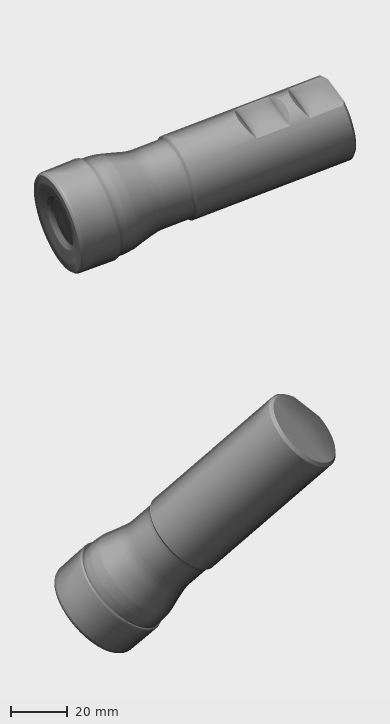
import cadquery as cq
import math


LENGTH = 110.5
SHANK_RADIUS = 31.7 / 2
BACK_CHAMFER = 1.1
NECK_RADIUS = 30.0 / 2
SHANK_FRONT = 46.4
SHANK_STEP = SHANK_RADIUS - NECK_RADIUS

BELL_RADIUS = 36.8 / 2
BELL_START = 19.0
BELL_ANGLE = math.radians(15)
BLEND_RADIUS = 15.4

COLLAR_RADIUS = 38.4 / 2
COLLAR_FRONT_RADIUS = 19.0
COLLAR_BACK = 15.4
COLLAR_BACK_BEVEL = 0.7
COLLAR_BACK_DROP = 0.2
FRONT_FACE_RADIUS = 18.2
FRONT_BEVEL_LENGTH = 0.7
FRONT_BEVEL_RADIUS = 18.8
FRONT_EDGE_LENGTH = 1.3

RIM_RADIUS = 15.2
DISH_OUTER_RADIUS = 14.6
RIM_DEPTH = 0.1
DISH_INNER_RADIUS = 10.2
DISH_DEPTH = 1.0
BORE_RADIUS = 9.2
BORE_BEVEL = 0.9
SPIGOT_FACE = 3.0

FLAT_HEIGHT = 13.5
FLAT_TURN = -4.6
FLAT_RAMP_ANGLE = math.radians(45)
REAR_FLAT_FRONT = 96.1
MIDDLE_FLAT_FRONT = 75.0
MIDDLE_FLAT_BACK = 87.9
CUTTER_CLEARANCE = 5.5


def revolve_about_y(profile):
    """Turn a profile drawn as (radius, y) fully around the tool axis."""
    return profile.close().revolve(360, (0, 0, 0), (0, 1, 0))


def make_holder_blank():
    """Shank, neck, bell and the spigot that fills the ring bore."""
    arc_length = BLEND_RADIUS * math.sin(BELL_ANGLE)
    arc_rise = BLEND_RADIUS * (1 - math.cos(BELL_ANGLE))
    half_length = BLEND_RADIUS * math.sin(BELL_ANGLE / 2)
    half_rise = BLEND_RADIUS * (1 - math.cos(BELL_ANGLE / 2))
    cone_rise = BELL_RADIUS - NECK_RADIUS - 2 * arc_rise
    cone_front = BELL_START + arc_length
    cone_back = cone_front + cone_rise / math.tan(BELL_ANGLE)
    bell_end = cone_back + arc_length
    profile = (
        cq.Workplane("XY")
        .moveTo(0, SPIGOT_FACE)
        .lineTo(BORE_RADIUS, SPIGOT_FACE)
        .lineTo(BORE_RADIUS, COLLAR_BACK)
        .lineTo(BELL_RADIUS, COLLAR_BACK)
        .lineTo(BELL_RADIUS, BELL_START)
        .threePointArc(
            (BELL_RADIUS - half_rise, BELL_START + half_length),
            (BELL_RADIUS - arc_rise, cone_front),
        )
        .lineTo(NECK_RADIUS + arc_rise, cone_back)
        .threePointArc(
            (NECK_RADIUS + half_rise, bell_end - half_length),
            (NECK_RADIUS, bell_end),
        )
        .lineTo(NECK_RADIUS, SHANK_FRONT)
        .lineTo(SHANK_RADIUS, SHANK_FRONT + SHANK_STEP)
        .lineTo(SHANK_RADIUS, LENGTH - BACK_CHAMFER)
        .lineTo(SHANK_RADIUS - BACK_CHAMFER, LENGTH)
        .lineTo(0, LENGTH)
    )
    return revolve_about_y(profile)


def make_flat_cutter(front, back, front_ramp, back_ramp):
    """Block over a flat from front to back; each ramp is the run-out at the block's top."""
    top = FLAT_HEIGHT + CUTTER_CLEARANCE
    return (
        cq.Workplane("YZ")
        .moveTo(front, FLAT_HEIGHT)
        .lineTo(back, FLAT_HEIGHT)
        .lineTo(back + back_ramp, top)
        .lineTo(front - front_ramp, top)
        .close()
        .extrude(SHANK_RADIUS, both=True)
        .rotate((0, 0, 0), (0, 1, 0), FLAT_TURN)
    )


def make_holder():
    ramp = CUTTER_CLEARANCE / math.tan(FLAT_RAMP_ANGLE)
    rear_flat = make_flat_cutter(REAR_FLAT_FRONT, LENGTH + CUTTER_CLEARANCE, ramp, 0)
    middle_flat = make_flat_cutter(MIDDLE_FLAT_FRONT, MIDDLE_FLAT_BACK, ramp, ramp)
    return make_holder_blank().cut(rear_flat).cut(middle_flat)


def make_collar_ring():
    """Slightly tapered ring on the spigot, with a bevelled rim and a shallow dished front."""
    profile = (
        cq.Workplane("XY")
        .moveTo(BORE_RADIUS, COLLAR_BACK)
        .lineTo(COLLAR_RADIUS - COLLAR_BACK_DROP, COLLAR_BACK)
        .lineTo(COLLAR_RADIUS, COLLAR_BACK - COLLAR_BACK_BEVEL)
        .lineTo(COLLAR_FRONT_RADIUS, FRONT_EDGE_LENGTH)
        .lineTo(FRONT_BEVEL_RADIUS, FRONT_BEVEL_LENGTH)
        .lineTo(FRONT_FACE_RADIUS, 0)
        .lineTo(RIM_RADIUS, 0)
        .lineTo(DISH_OUTER_RADIUS, RIM_DEPTH)
        .lineTo(DISH_INNER_RADIUS, DISH_DEPTH)
        .lineTo(BORE_RADIUS, DISH_DEPTH + BORE_BEVEL)
    )
    return revolve_about_y(profile)


holder = make_holder()
collar_ring = make_collar_ring()
result = cq.Compound.makeCompound([holder.val(), collar_ring.val()])